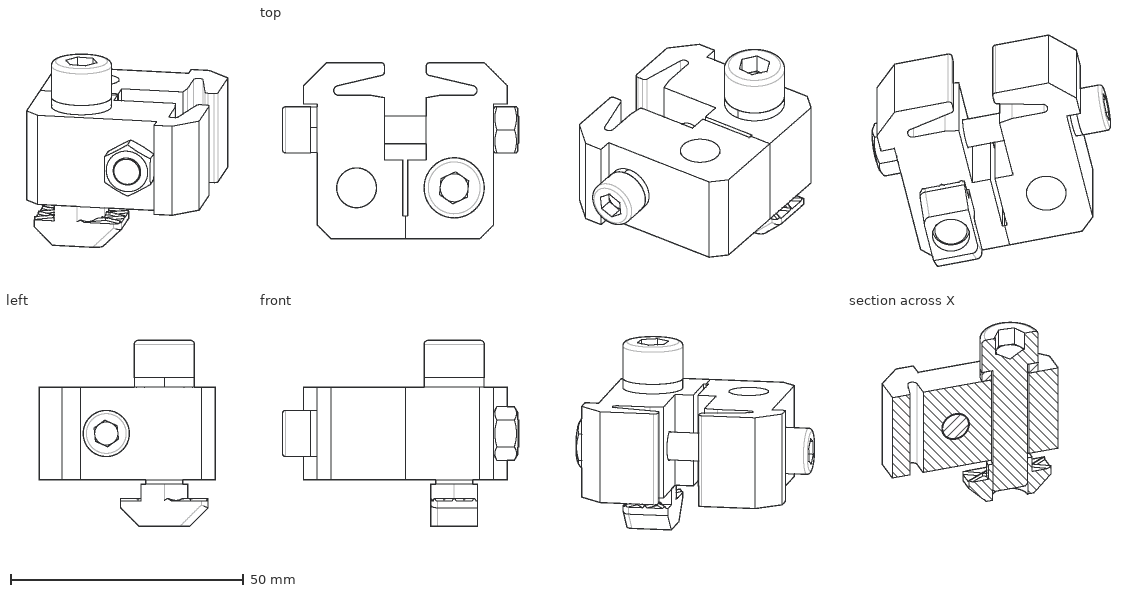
import cadquery as cq
import math


pick_margin = 0.5

jaw_height = 20.0
jaw_depth = 38.0
jaw_half_width = jaw_depth / 2
ear_half_width = 22.0
ear_length = 9.0
ear_chamfer = 5.0
front_chamfer = 3.0
mouth_half_width = 4.5
mouth_floor_y = 17.05
gap_half_width = 0.5
gap_start_y = 5.0
hook_tip_length = 2.65
hook_tip_radius = 0.75
hook_slot_radius = 1.0
hook_slot_end_x = 14.4
hook_slot_end_y = jaw_depth - 6.0
shoulder_length = 2.9
shoulder_drop = 0.5
mount_hole_diameter = 8.5
mount_hole_x = 10.5
mount_hole_y = 11.0

clamp_axis_y = jaw_depth - 14.5
clamp_axis_z = jaw_height / 2
clamp_head_diameter = 10.0
clamp_head_height = 6.0
clamp_head_fillet = 0.7
clamp_socket_flats = 5.0
clamp_socket_depth = 3.0
clamp_shank_diameter = 6.0
clamp_tip_chamfer = 0.2
clamp_tip_overhang = 0.3
clamp_hole_diameter = 6.2
clamp_turn = 6
clamp_washer_diameter = 9.9
clamp_washer_height = 1.5
nut_flats = 10.0
nut_height = 5.2
nut_chamfer_angle = 30
nut_face_diameter = 9.1

mount_head_diameter = 13.0
mount_head_height = 8.0
mount_head_fillet = 0.9
mount_socket_flats = 6.0
mount_socket_depth = 4.0
mount_socket_turn = 85
mount_shank_diameter = 8.0
mount_shank_length = 30.0
mount_tip_chamfer = 0.5
mount_washer_diameter = 12.9
mount_washer_height = 2.1
mount_washer_split_turn = 180
drill_point_angle = 118
washer_split_width = 0.015

tnut_gap = 0.9
tnut_height = 9.1
tnut_width = 10.1
tnut_length = 18.85
tnut_neck_height = 3.05
tnut_wing_edge = 2.05
tnut_bevel = 4.0
tnut_corner_radius = 1.5
knurl_height = 0.5
knurl_pitch = 4.35
knurl_angle = 30
knurl_half_width = 0.4


def jaw_outline():
    """Plan outline of the right-hand jaw."""
    slot_cx = hook_slot_end_x
    slot_cy = hook_slot_end_y
    tip_y = jaw_depth - hook_tip_length
    run = slot_cx - mouth_half_width
    drop = slot_cy - tip_y
    slope = math.atan2(drop, run) + math.asin(hook_slot_radius / math.hypot(run, drop))
    tangent_x = slot_cx - hook_slot_radius * math.sin(slope)
    tangent_y = slot_cy + hook_slot_radius * math.cos(slope)
    slot_bottom_y = slot_cy - hook_slot_radius
    return (
        cq.Workplane("XY")
        .moveTo(0, 0)
        .lineTo(jaw_half_width - front_chamfer, 0)
        .lineTo(jaw_half_width, front_chamfer)
        .lineTo(jaw_half_width, jaw_depth - ear_length)
        .lineTo(ear_half_width, jaw_depth - ear_length)
        .lineTo(ear_half_width, jaw_depth - ear_chamfer)
        .lineTo(ear_half_width - ear_chamfer, jaw_depth)
        .lineTo(mouth_half_width, jaw_depth)
        .lineTo(mouth_half_width, tip_y)
        .lineTo(tangent_x, tangent_y)
        .threePointArc((slot_cx + hook_slot_radius, slot_cy), (slot_cx, slot_bottom_y))
        .lineTo(mouth_half_width + shoulder_length, slot_bottom_y)
        .lineTo(mouth_half_width, slot_bottom_y - shoulder_drop)
        .lineTo(mouth_half_width, mouth_floor_y)
        .lineTo(gap_half_width, mouth_floor_y)
        .lineTo(gap_half_width, gap_start_y)
        .lineTo(0, gap_start_y)
        .close()
    )


def make_right_jaw():
    jaw = jaw_outline().extrude(jaw_height)
    hook_tip = cq.selectors.BoxSelector(
        (mouth_half_width - pick_margin, jaw_depth - hook_tip_length - pick_margin, 0),
        (mouth_half_width + pick_margin, jaw_depth + pick_margin, jaw_height),
    )
    jaw = jaw.edges("|Z").edges(hook_tip).fillet(hook_tip_radius)
    mount_hole = (
        cq.Workplane("XY")
        .center(mount_hole_x, mount_hole_y)
        .circle(mount_hole_diameter / 2)
        .extrude(jaw_height)
    )
    clamp_hole = (
        cq.Workplane("YZ")
        .center(clamp_axis_y, clamp_axis_z)
        .circle(clamp_hole_diameter / 2)
        .extrude(ear_half_width)
    )
    return jaw.cut(mount_hole).cut(clamp_hole)


def make_left_jaw():
    return make_right_jaw().mirror("YZ")


def make_socket_screw(head_diameter, head_height, head_fillet, flats, socket_depth, socket_turn,
                      shank_diameter, shank_length, tip_chamfer):
    """Socket-head screw along z, with the underside of its head at z = 0 and its head upward."""
    head = cq.Workplane("XY").circle(head_diameter / 2).extrude(head_height)
    head = head.faces(">Z").edges().fillet(head_fillet)
    shank = cq.Workplane("XY").circle(shank_diameter / 2).extrude(-shank_length)
    shank = shank.faces("<Z").edges().chamfer(tip_chamfer)

    floor_z = head_height - socket_depth
    hex_diameter = flats / math.cos(math.pi / 6)
    socket = cq.Workplane("XY").workplane(offset=floor_z).polygon(6, hex_diameter).extrude(socket_depth)
    socket = socket.rotate((0, 0, 0), (0, 0, 1), socket_turn)
    point_depth = flats / 2 / math.tan(math.radians(drill_point_angle / 2))
    drill_point = cq.Workplane(
        cq.Solid.makeCone(flats / 2, 0, point_depth, cq.Vector(0, 0, floor_z), cq.Vector(0, 0, -1))
    )
    return head.union(shank).cut(socket).cut(drill_point)


def make_spring_washer(outer_diameter, inner_diameter, height, split_turn):
    """Split ring resting on z = 0, with its narrow radial split at the given angle."""
    ring = cq.Workplane("XY").circle(outer_diameter / 2).circle(inner_diameter / 2).extrude(height)
    split = (
        cq.Workplane("XY")
        .rect(outer_diameter, washer_split_width)
        .extrude(height)
        .translate((outer_diameter / 2, 0, 0))
    )
    return ring.cut(split).rotate((0, 0, 0), (0, 0, 1), split_turn)


def make_hex_nut():
    """Hexagon nut on z = 0, corners along x, both ends chamfered by a cone."""
    corner_diameter = nut_flats / math.cos(math.pi / 6)
    face_radius = nut_face_diameter / 2
    corner_radius = corner_diameter / 2
    chamfer_height = (corner_radius - face_radius) * math.tan(math.radians(nut_chamfer_angle))
    envelope = (
        cq.Workplane("XZ")
        .moveTo(0, 0)
        .lineTo(face_radius, 0)
        .lineTo(corner_radius, chamfer_height)
        .lineTo(corner_radius, nut_height - chamfer_height)
        .lineTo(face_radius, nut_height)
        .lineTo(0, nut_height)
        .close()
        .revolve(360, (0, 0, 0), (0, 1, 0))
    )
    prism = cq.Workplane("XY").polygon(6, corner_diameter).extrude(nut_height)
    bore = cq.Workplane("XY").circle(clamp_shank_diameter / 2).extrude(nut_height)
    return prism.intersect(envelope).cut(bore)


def make_knurl():
    """Crossed triangular ridges on both wings, with their feet at z = 0."""
    ridge = (
        cq.Workplane("XZ")
        .polyline([(-knurl_half_width, 0), (knurl_half_width, 0), (0, knurl_height)])
        .close()
        .extrude(tnut_length, both=True)
    )
    front_wing = (
        cq.Workplane("XY")
        .box(tnut_width, tnut_length / 2, knurl_height, centered=(True, False, False))
        .translate((0, -tnut_length / 2, 0))
    )
    knurl = cq.Workplane("XY")
    for pair_x in (-knurl_pitch / 2, knurl_pitch / 2):
        for side in (-1, 1):
            leaning = ridge.rotate((0, 0, 0), (0, 0, 1), side * knurl_angle)
            start_x = pair_x + side * knurl_pitch / 2
            knurl = knurl.union(leaning.translate((start_x, -tnut_length / 2, 0)))
    knurl = knurl.intersect(front_wing)
    return knurl.union(knurl.rotate((0, 0, 0), (0, 0, 1), 180))


def make_tnut():
    """T-nut on the z axis, with the top of its neck at z = 0 and two opposite corners rounded."""
    half_width = tnut_width / 2
    half_length = tnut_length / 2
    crest_z = -tnut_neck_height
    bevel_z = crest_z - tnut_wing_edge
    wings = (
        cq.Workplane("YZ")
        .moveTo(-half_length, crest_z)
        .lineTo(-half_length, bevel_z)
        .lineTo(-half_length + tnut_bevel, -tnut_height)
        .lineTo(half_length - tnut_bevel, -tnut_height)
        .lineTo(half_length, bevel_z)
        .lineTo(half_length, crest_z)
        .close()
        .extrude(half_width, both=True)
    )
    for side in (-1, 1):
        corner = cq.selectors.BoxSelector(
            (side * (half_width - pick_margin), side * (half_length - tnut_bevel), -tnut_height),
            (side * (half_width + pick_margin), side * (half_length + pick_margin), crest_z - pick_margin),
        )
        wings = wings.edges("#X").edges(corner).fillet(tnut_corner_radius)

    knurl_foot_z = crest_z - knurl_height
    knurl_layer = (
        cq.Workplane("XY")
        .workplane(offset=knurl_foot_z)
        .rect(tnut_width, tnut_length)
        .extrude(knurl_height)
    )
    knurl_hollows = knurl_layer.cut(make_knurl().translate((0, 0, knurl_foot_z)))

    neck_base_height = tnut_neck_height + knurl_height
    neck = cq.Workplane("XY").rect(tnut_width, tnut_width).extrude(-neck_base_height)
    disc = cq.Workplane("XY").circle(half_width).extrude(-neck_base_height)
    for side in (-1, 1):
        quadrant = (
            cq.Workplane("XY")
            .rect(side * half_width, side * half_width, centered=False)
            .extrude(-neck_base_height)
        )
        neck = neck.cut(quadrant.cut(disc))

    bore = cq.Workplane("XY").circle(mount_shank_diameter / 2).extrude(-tnut_height)
    return wings.cut(knurl_hollows).union(neck).cut(bore)


def on_clamp_axis(body, x):
    """Lay a body along x with its +z end toward -x and its base plane at x."""
    return body.rotate((0, 0, 0), (0, 1, 0), -90).translate((x, clamp_axis_y, clamp_axis_z))


def on_mount_axis(body, z):
    return body.translate((mount_hole_x, mount_hole_y, z))


right_jaw = make_right_jaw()
left_jaw = make_left_jaw()

clamp_washer = on_clamp_axis(
    make_spring_washer(clamp_washer_diameter, clamp_hole_diameter, clamp_washer_height, clamp_turn),
    -jaw_half_width,
)
clamp_shank_length = clamp_washer_height + 2 * jaw_half_width + nut_height + clamp_tip_overhang
clamp_screw = on_clamp_axis(
    make_socket_screw(
        clamp_head_diameter, clamp_head_height, clamp_head_fillet,
        clamp_socket_flats, clamp_socket_depth, clamp_turn,
        clamp_shank_diameter, clamp_shank_length, clamp_tip_chamfer,
    ),
    -jaw_half_width - clamp_washer_height,
)
clamp_nut = on_clamp_axis(make_hex_nut(), jaw_half_width + nut_height)

mount_washer = on_mount_axis(
    make_spring_washer(
        mount_washer_diameter, mount_hole_diameter, mount_washer_height, mount_washer_split_turn
    ),
    jaw_height,
)
mount_screw = on_mount_axis(
    make_socket_screw(
        mount_head_diameter, mount_head_height, mount_head_fillet,
        mount_socket_flats, mount_socket_depth, mount_socket_turn,
        mount_shank_diameter, mount_shank_length, mount_tip_chamfer,
    ),
    jaw_height + mount_washer_height,
)
tnut = on_mount_axis(make_tnut(), -tnut_gap)

result = cq.Compound.makeCompound([
    left_jaw.val(),
    right_jaw.val(),
    clamp_screw.val(),
    clamp_washer.val(),
    clamp_nut.val(),
    mount_screw.val(),
    mount_washer.val(),
    tnut.val(),
])